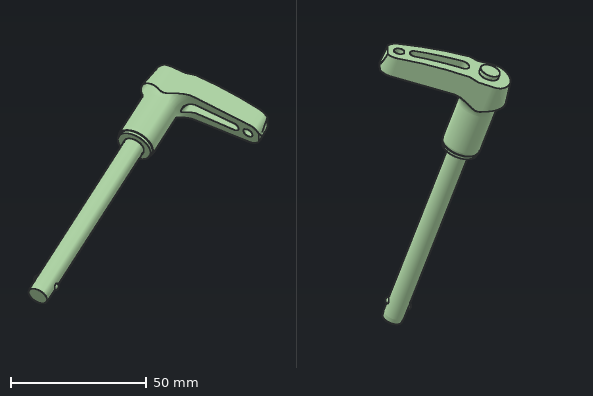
import cadquery as cq
import math

length = 114.0
pin_radius = 4.1
tip_radius = 3.9
tip_length = 2.2

button_radius = 3.8
head_top = -1.8

sleeve_radius = 7.4
flare_radius = 5.9
arm_underside = -10.0
flare_start = arm_underside - flare_radius
taper_start = -33.1
taper_end = -34.4
taper_radius = 7.2
lip_radius = 6.8
sleeve_end = -35.8

handle_left = -9.8
handle_right = 39.9
head_radius = 7.92
head_center = handle_left + head_radius
arm_end_radius = 5.2
arm_end_center = handle_right - arm_end_radius
toe_height = -10.5
arm_top = -0.8
arm_top_start = 7.8
arm_top_middle = (23.4, -1.4)
arm_top_end = (38.9, -3.4)
button_seat_right = 4.1
underside_slope_start = 11.4
toe_drop = 0.8
toe_rounding = 0.7
head_face_radius = 9.0
head_face_run = 1.3
head_low = -10.8

slot_left = 8.0
slot_right = 30.7
slot_left_radius = 2.5
slot_right_radius = 1.9
hole_radius = 1.9

ball_radius = 1.5
ball_reach = 5.0
ball_position = -107.0


def tapered_bar(left_center, left_radius, right_center, right_radius):
    """Tall prism along Y whose outline is two arcs joined by their common tangents."""
    slope = math.asin((left_radius - right_radius) / (right_center - left_center))
    left_x = left_center + left_radius * math.sin(slope)
    left_z = left_radius * math.cos(slope)
    right_x = right_center + right_radius * math.sin(slope)
    right_z = right_radius * math.cos(slope)
    return (
        cq.Workplane("XZ")
        .moveTo(left_x, left_z)
        .lineTo(right_x, right_z)
        .threePointArc((right_center + right_radius, 0), (right_x, -right_z))
        .lineTo(left_x, -left_z)
        .threePointArc((left_center - left_radius, 0), (left_x, left_z))
        .close()
        .extrude(length / 2, both=True)
    )


def arm_side_profile():
    """Curved arm with a sloping end face and a rounded lower toe."""
    arm = (
        cq.Workplane("XY")
        .moveTo(handle_left, head_top)
        .lineTo(button_seat_right, head_top)
        .lineTo(arm_top_start, arm_top)
        .threePointArc(arm_top_middle, arm_top_end)
        .lineTo(handle_right, toe_height)
        .lineTo(handle_right - toe_rounding, toe_height - toe_drop)
        .lineTo(underside_slope_start, arm_underside)
        .lineTo(handle_left, arm_underside)
        .close()
        .extrude(head_radius, both=True)
    )
    toe = cq.selectors.BoxSelector(
        (handle_right - toe_rounding / 2, toe_height - 0.1, -1.1),
        (handle_right + 0.1, toe_height + 0.1, 1.1),
    )
    return arm.edges(toe).fillet(toe_rounding)


def flare():
    """Concave round of revolution between the sleeve and the underside of the arm."""
    outer = sleeve_radius + flare_radius
    diagonal = flare_radius * math.sqrt(0.5)
    return (
        cq.Workplane("XY")
        .moveTo(0, flare_start)
        .lineTo(sleeve_radius, flare_start)
        .threePointArc((outer - diagonal, flare_start + diagonal), (outer, arm_underside))
        .lineTo(0, arm_underside)
        .close()
        .revolve(360, (0, 0, 0), (0, 1, 0))
    )


def head_face_envelope():
    """Leaning round-ended prism that slopes the outer face of the head."""
    lean = math.degrees(math.atan(head_face_run / (head_top - head_low)))
    center = handle_left + head_face_radius
    return (
        cq.Workplane("XZ")
        .moveTo(center, head_face_radius)
        .lineTo(length, head_face_radius)
        .lineTo(length, -head_face_radius)
        .lineTo(center, -head_face_radius)
        .threePointArc((handle_left, 0), (center, head_face_radius))
        .close()
        .extrude(length / 2, both=True)
        .rotate((handle_left, 0, 0), (handle_left, 0, 1), -lean)
        .translate((0, head_low, 0))
    )


def pin_and_sleeve():
    """Button, sleeve and pin turned about the Y axis."""
    half_section = [
        (0, 0),
        (button_radius, 0),
        (button_radius, flare_start),
        (sleeve_radius, flare_start),
        (sleeve_radius, taper_start),
        (taper_radius, taper_end),
        (lip_radius, taper_end),
        (lip_radius, sleeve_end),
        (pin_radius, sleeve_end),
        (pin_radius, tip_length - length),
        (tip_radius, -length),
        (0, -length),
    ]
    return cq.Workplane("XY").polyline(half_section).close().revolve(360, (0, 0, 0), (0, 1, 0))


def handle():
    outline = tapered_bar(head_center, head_radius, arm_end_center, arm_end_radius)
    slot = tapered_bar(
        slot_left + slot_left_radius, slot_left_radius,
        slot_right - slot_right_radius, slot_right_radius,
    )
    hole = (
        cq.Workplane("XZ")
        .center(arm_end_center, 0)
        .circle(hole_radius)
        .extrude(length / 2, both=True)
    )
    blank = arm_side_profile().union(flare())
    return blank.intersect(outline).intersect(head_face_envelope()).cut(slot).cut(hole)


result = handle().union(pin_and_sleeve())
for side in (-1, 1):
    ball_center = (side * (ball_reach - ball_radius), ball_position, 0)
    result = result.union(cq.Workplane("XY").sphere(ball_radius).translate(ball_center))